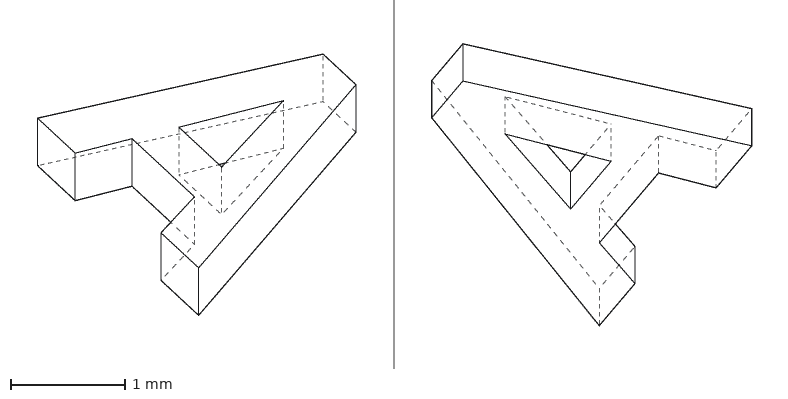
import cadquery as cq

width = 2.3
height = 2.45
thickness = 0.6

top_width = 0.47
foot_width = 0.54
notch_top_width = 0.892
crossbar_bottom = 0.5

crossbar_top = 0.91
window_width = 0.61
window_apex = 1.828

notch_bottom_width = width - 2 * foot_width


def make_body():
    """Tapered plate with two feet, symmetric about the YZ plane."""
    right_side = [
        (notch_top_width / 2, crossbar_bottom),
        (notch_bottom_width / 2, 0),
        (width / 2, 0),
        (top_width / 2, height),
    ]
    left_side = [(-x, y) for x, y in reversed(right_side)]
    return cq.Workplane("XY").polyline(right_side + left_side).close().extrude(thickness)


def make_window():
    """Triangular prism that passes through the full thickness."""
    corners = [
        (-window_width / 2, crossbar_top),
        (window_width / 2, crossbar_top),
        (0, window_apex),
    ]
    return cq.Workplane("XY").polyline(corners).close().extrude(thickness)


result = make_body().cut(make_window())